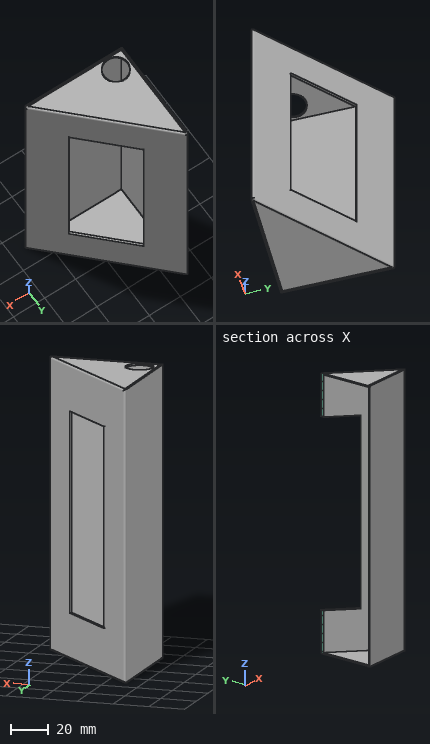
import cadquery as cq
import math

height = 160.0
leg = 64.0
edge_radius = 1.0

wall = 1.0
inner_leg = 60.0
lid_thickness = 1.0

hole_diameter = 15.0
hole_gap_x = 1.47
hole_gap_y = 0.5
hole_x = wall + hole_gap_x + hole_diameter / 2
hole_y = wall + hole_gap_y + hole_diameter / 2

window_margin = 25.0
front_width = leg * math.sqrt(2)
window_width = front_width - 2 * window_margin
window_height = height - 2 * window_margin
front_wall = (leg - 2 * wall - inner_leg) / math.sqrt(2)
window_cut_depth = 4 * front_wall

FRONT = cq.Vector(1, 1, 0)


def right_triangle(corner, side, bottom, thickness):
    """Upright prism with its right angle at (corner, corner)."""
    return (
        cq.Workplane("XY", origin=(corner, corner, bottom))
        .polyline([(0, 0), (side, 0), (0, side)])
        .close()
        .extrude(thickness)
    )


def make_window():
    """Block that cuts the window through the middle of the front wall."""
    front_centre = cq.Vector(leg / 2, leg / 2, height / 2)
    across_front = cq.Vector(1, -1, 0)
    front_plane = cq.Plane(origin=front_centre, xDir=across_front, normal=FRONT)
    return cq.Workplane(front_plane).box(window_width, window_height, window_cut_depth)


def make_housing():
    """Triangular tube with a rounded front face and a window in that face."""
    body = right_triangle(0, leg, 0, height)
    body = body.faces(cq.selectors.DirectionMinMaxSelector(FRONT)).edges().fillet(edge_radius)
    body = body.cut(right_triangle(wall, inner_leg, 0, height))
    return body.cut(make_window())


def make_lid(bottom):
    """Plain plate that fills one end of the tube."""
    return right_triangle(wall, inner_leg, bottom, lid_thickness)


def make_top_lid():
    """Lid flush with the top of the tube, with a round hole near its square corner."""
    hole = cq.Workplane("XY").center(hole_x, hole_y).circle(hole_diameter / 2).extrude(height)
    return make_lid(height - lid_thickness).cut(hole)


housing = make_housing()
bottom_lid = make_lid(0)
top_lid = make_top_lid()

result = cq.Compound.makeCompound([housing.val(), bottom_lid.val(), top_lid.val()])